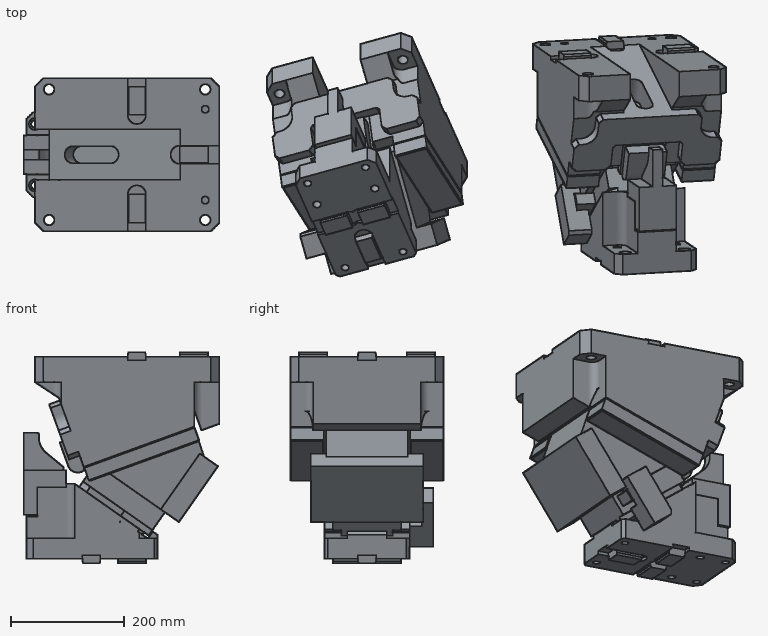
import cadquery as cq
import math


RUN_OUT = 400.0

GUIDE_ANGLE = 20.0
DRIVE_ANGLE = -35.0


def slope_plane(angle):
    """XZ plane turned by an angle about the Y axis through the origin: x along, y across the slope."""
    a = math.radians(angle)
    return cq.Plane(origin=(0, 0, 0), xDir=(math.cos(a), 0, math.sin(a)), normal=(0, -1, 0))


GUIDE = slope_plane(GUIDE_ANGLE)
DRIVE = slope_plane(DRIVE_ANGLE)


def world_xyz(plane, along, across):
    """Point of the middle plane given in a sloped plane."""
    return plane.toWorldCoords((along, across, 0)).toTuple()


def world_xz(plane, along, across):
    """X and Z of a point given in a sloped plane."""
    x, _, z = world_xyz(plane, along, across)
    return (x, z)


def prism(points, half_width):
    """Side profile extruded evenly to both sides of the middle plane."""
    return cq.Workplane("XZ").polyline(points).close().extrude(half_width, both=True)


def slope_block(plane, along, across, y_range):
    """Box aligned with a sloped plane; each argument is a (low, high) pair."""
    return (
        cq.Workplane(plane).workplane(offset=-y_range[1])
        .moveTo(along[0], across[0]).lineTo(along[1], across[0])
        .lineTo(along[1], across[1]).lineTo(along[0], across[1]).close()
        .extrude(y_range[1] - y_range[0])
    )


def box(x_range, y_range, z_range):
    """Axis-aligned box from (low, high) pairs."""
    return (
        cq.Workplane("XY")
        .box(x_range[1] - x_range[0], y_range[1] - y_range[0], z_range[1] - z_range[0], centered=False)
        .translate((x_range[0], y_range[0], z_range[0]))
    )


KEY_LENGTH = 50.0
KEY_WIDTH = 32.0
KEY_SLOT_DEPTH = 6.0
KEY_PROUD = 8.0
KEY_BEVEL_WIDTH = 1.5
KEY_BEVEL_HEIGHT = 4.0


def key(face_z, outward, position, turn):
    """Key lying along X, centred on a position, proud of a face; outward is +1 up or -1 down."""
    half = KEY_WIDTH / 2
    points = [
        (-half, -KEY_SLOT_DEPTH), (half, -KEY_SLOT_DEPTH), (half, KEY_PROUD - KEY_BEVEL_HEIGHT),
        (half - KEY_BEVEL_WIDTH, KEY_PROUD), (-half + KEY_BEVEL_WIDTH, KEY_PROUD),
        (-half, KEY_PROUD - KEY_BEVEL_HEIGHT),
    ]
    points = [(y, outward * z) for y, z in points]
    bar = cq.Workplane("YZ").polyline(points).close().extrude(KEY_LENGTH / 2, both=True)
    return bar.rotate((0, 0, 0), (0, 0, 1), turn).translate((position[0], position[1], face_z))


def key_slot(face_z, position, turn):
    """Slot with one round end, KEY_LENGTH / 2 inward of a position, running outward along its turn."""
    start = -KEY_LENGTH / 2
    straight = box(
        (start, start + KEY_LENGTH + RUN_OUT), (-KEY_WIDTH / 2, KEY_WIDTH / 2),
        (-KEY_SLOT_DEPTH, KEY_SLOT_DEPTH),
    )
    end = (
        cq.Workplane("XY", origin=(start, 0, -KEY_SLOT_DEPTH))
        .circle(KEY_WIDTH / 2).extrude(2 * KEY_SLOT_DEPTH)
    )
    slot = straight.union(end)
    return slot.rotate((0, 0, 0), (0, 0, 1), turn).translate((position[0], position[1], face_z))


def fit_keys(body, face_z, outward, places):
    """Cut every key slot, then set a key in each."""
    for position, turn in places:
        body = body.cut(key_slot(face_z, position, turn))
    for position, turn in places:
        body = body.union(key(face_z, outward, position, turn))
    return body


def holes(places, diameter, z_range):
    """Vertical round cutters."""
    return (
        cq.Workplane("XY", origin=(0, 0, z_range[0])).pushPoints(places)
        .circle(diameter / 2).extrude(z_range[1] - z_range[0])
    )


HALF_WIDTH = 135.0
PLATE_LEFT, PLATE_RIGHT = 15.0, 340.0
PLATE_TOP = 356.0
PLATE_BOTTOM = PLATE_TOP - 45.0
PLATE_CHAMFER = 15.0
HOUSING_LEFT, HOUSING_RIGHT = 61.0, 296.0

BACK_FACE = 150.5
WORK_FACE = BACK_FACE - 20.0
GUIDE_END = 357.5
RAMP_LEVEL = 242.0
HEAD_LEVEL = 133.0
RAIL_TOP, RAIL_BOTTOM = 117.5, 90.5
RAIL_CHAMFER = 2.0
CHANNEL_HALF = 76.0

GUSSET_HALF = 95.0
FRONT_COVE, REAR_COVE = 15.0, 13.5
FRONT_GUSSET_X = 57.0
RIB_SIDE, RIB_LEVEL = 367.0, 107.0

RAMP_HALF = 44.5
RAMP_SLOT_LENGTH, RAMP_SLOT_WIDTH, RAMP_SLOT_DEPTH = 101.0, 30.0, 44.0
RAMP_SLOT_X = 115.0

BOLT_EDGE_X, BOLT_EDGE_Y, BOLT_DIAMETER = 25.0, 20.0, 18.0
DOWEL_Y, DOWEL_DIAMETER, DOWEL_DEPTH = 80.0, 13.0, 25.0
TOP_KEY_X, TOP_KEY_Y, REAR_KEY_X = 194.5, 95.0, 295.0


def coved_block(wall_x, free_x, cove):
    """Plan of a gusset from a free end to a wall, flaring into the wall with a cove each side."""
    toward = math.copysign(1, free_x - wall_x)
    mid = cove * (1 - math.sqrt(0.5))
    return (
        cq.Workplane("XY").moveTo(free_x, 0).lineTo(free_x, GUSSET_HALF)
        .lineTo(wall_x + toward * cove, GUSSET_HALF)
        .threePointArc((wall_x + toward * mid, GUSSET_HALF + mid), (wall_x, GUSSET_HALF + cove))
        .lineTo(wall_x, 0).mirrorX().extrude(PLATE_TOP)
    )


def housing():
    """Plate, full-width housing and the coved gussets in front and behind."""
    plate = (
        box((PLATE_LEFT, PLATE_RIGHT), (-HALF_WIDTH, HALF_WIDTH), (PLATE_BOTTOM, PLATE_TOP))
        .edges("|Z").chamfer(PLATE_CHAMFER)
    )
    a = math.radians(GUIDE_ANGLE)
    bend_z = (BACK_FACE - HOUSING_LEFT * math.cos(a)) / math.sin(a)
    gusset_z = (BACK_FACE - FRONT_GUSSET_X * math.cos(a)) / math.sin(a)
    right_z = (RAIL_TOP + HOUSING_RIGHT * math.sin(a)) / math.cos(a)
    block = prism(
        [(HOUSING_LEFT, PLATE_BOTTOM), (HOUSING_LEFT, bend_z), world_xz(GUIDE, BACK_FACE, RAIL_TOP),
         (HOUSING_RIGHT, right_z), (HOUSING_RIGHT, PLATE_BOTTOM)],
        HALF_WIDTH,
    )
    front = prism(
        [(PLATE_LEFT, PLATE_BOTTOM), (FRONT_GUSSET_X, gusset_z), (HOUSING_LEFT, bend_z),
         (HOUSING_LEFT, PLATE_BOTTOM)],
        HALF_WIDTH,
    ).intersect(coved_block(HOUSING_LEFT, PLATE_LEFT, FRONT_COVE))
    rib_top_z = (RIB_SIDE - HOUSING_RIGHT * math.cos(a)) / math.sin(a)
    rib_end_z = (RIB_LEVEL + PLATE_RIGHT * math.sin(a)) / math.cos(a)
    rear = prism(
        [(HOUSING_RIGHT, PLATE_BOTTOM), (HOUSING_RIGHT, rib_top_z), world_xz(GUIDE, RIB_SIDE, RIB_LEVEL),
         (PLATE_RIGHT, rib_end_z), (PLATE_RIGHT, PLATE_BOTTOM)],
        HALF_WIDTH,
    ).intersect(coved_block(HOUSING_RIGHT, PLATE_RIGHT, REAR_COVE))
    return plate.union(block).union(front).union(rear)


WORK_TOP_HALF, WORK_NECK_HALF, WORK_STEP_HALF = 87.0, 94.5, 126.5
WORK_TOP_CHAMFER_LEVEL = RAMP_LEVEL - 7.0
WORK_STEP_LEVEL, WORK_SIDE_LEVEL = 193.0, 185.0
WORK_COVE = 25.0
WORK_EMBED = 3.0
WORK_BOTTOM = 138.5
WORK_BOTTOM_CHAMFER = 7.5
RELIEF_HALF, RELIEF_TOP, RELIEF_CHAMFER = 64.0, 187.5, 5.0
RELIEF_FLARE = 8.0


def tilted_face(along):
    """Plane square to GUIDE at a distance along it, with X running along the part's Y."""
    return cq.Plane(
        origin=world_xyz(GUIDE, along, 0), xDir=(0, 1, 0), normal=GUIDE.xDir.toTuple()
    )


def work_plate():
    """Plate on the tilted front of the housing, with coved shoulders and a central relief."""
    cove_mid = WORK_COVE * (1 - math.sqrt(0.5))
    cove_y, cove_t = WORK_NECK_HALF + cove_mid, WORK_STEP_LEVEL + cove_mid
    cove_start = WORK_STEP_LEVEL + WORK_COVE
    cove_end = WORK_NECK_HALF + WORK_COVE
    plate = (
        cq.Workplane(tilted_face(BACK_FACE + WORK_EMBED))
        .moveTo(0, RAMP_LEVEL).lineTo(WORK_TOP_HALF, RAMP_LEVEL)
        .lineTo(WORK_NECK_HALF, WORK_TOP_CHAMFER_LEVEL).lineTo(WORK_NECK_HALF, cove_start)
        .threePointArc((cove_y, cove_t), (cove_end, WORK_STEP_LEVEL))
        .lineTo(WORK_STEP_HALF, WORK_STEP_LEVEL).lineTo(HALF_WIDTH, WORK_SIDE_LEVEL)
        .lineTo(HALF_WIDTH, WORK_BOTTOM + WORK_BOTTOM_CHAMFER)
        .lineTo(HALF_WIDTH - WORK_BOTTOM_CHAMFER, WORK_BOTTOM)
        .lineTo(0, WORK_BOTTOM).mirrorY()
        .extrude(WORK_FACE - BACK_FACE - WORK_EMBED)
    )
    relief = (
        cq.Workplane(tilted_face(BACK_FACE))
        .moveTo(0, WORK_BOTTOM).lineTo(RELIEF_HALF + RELIEF_FLARE, WORK_BOTTOM)
        .lineTo(RELIEF_HALF, WORK_BOTTOM + RELIEF_FLARE)
        .lineTo(RELIEF_HALF, RELIEF_TOP - RELIEF_CHAMFER)
        .lineTo(RELIEF_HALF - RELIEF_CHAMFER, RELIEF_TOP).lineTo(0, RELIEF_TOP).mirrorY()
        .extrude(WORK_FACE - BACK_FACE)
    )
    return plate.cut(relief)


NOSE_HALF, NOSE_FRONT, NOSE_TOP, NOSE_BOTTOM = 35.0, 125.0, 172.5, 110.5
NOSE_FRONT_RADIUS, NOSE_BACK_RADIUS = 18.0, 6.5
LUG_HALF, LUG_BACK, LUG_BOTTOM = 39.0, 165.0, 115.5
LUG_PROUD = 0.5


def nose():
    """Round-bottomed block in the relief, on a slightly wider lug under the housing front."""
    block = slope_block(GUIDE, (NOSE_FRONT, BACK_FACE), (NOSE_BOTTOM, NOSE_TOP), (-NOSE_HALF, NOSE_HALF))
    for back_edge, radius in ((False, NOSE_FRONT_RADIUS), (True, NOSE_BACK_RADIUS)):
        underside = block.faces(cq.DirectionMinMaxSelector(GUIDE.yDir, False))
        edge = underside.edges("|Y").edges(cq.DirectionMinMaxSelector(GUIDE.xDir, back_edge))
        block = edge.fillet(radius)
    lug = slope_block(
        GUIDE, (BACK_FACE - LUG_PROUD, LUG_BACK), (LUG_BOTTOM, RELIEF_TOP), (-LUG_HALF, LUG_HALF)
    )
    return block.union(lug)


def rails():
    """Two chamfered rails under the housing, one each side of the slider."""
    rail = slope_block(
        GUIDE, (BACK_FACE, GUIDE_END), (RAIL_BOTTOM, RAIL_TOP), (CHANNEL_HALF, HALF_WIDTH)
    )
    for top_face in (False, True):
        face = rail.faces(cq.DirectionMinMaxSelector(GUIDE.yDir, top_face))
        rail = face.edges().chamfer(RAIL_CHAMFER)
    return rail.union(rail.mirror("XZ"))


def ramp_pocket():
    """Everything above the ramp over its width, and an obround pocket sunk square into it."""
    a = math.radians(GUIDE_ANGLE)
    pocket = slope_block(GUIDE, (0, RUN_OUT), (RAMP_LEVEL, 2 * RAMP_LEVEL), (-RAMP_HALF, RAMP_HALF))
    slot_x = RAMP_SLOT_X
    slot_z = (RAMP_LEVEL + slot_x * math.sin(a)) / math.cos(a)
    floor = cq.Plane(
        origin=(slot_x, 0, slot_z), xDir=GUIDE.xDir.toTuple(), normal=GUIDE.yDir.toTuple()
    )
    slot = cq.Workplane(floor).slot2D(RAMP_SLOT_LENGTH, RAMP_SLOT_WIDTH).extrude(-RAMP_SLOT_DEPTH)
    return pocket.union(slot)


def make_upper():
    """Housing with work plate, slideway, rails, nose, ramp pocket, plate holes and keys."""
    body = housing().union(work_plate())
    channel = slope_block(GUIDE, (0, GUIDE_END), (0, HEAD_LEVEL), (-CHANNEL_HALF, CHANNEL_HALF))
    body = body.cut(channel)
    body = body.union(rails()).union(nose()).cut(ramp_pocket())
    bolt_x = (PLATE_LEFT + BOLT_EDGE_X, PLATE_RIGHT - BOLT_EDGE_X)
    bolt_y = HALF_WIDTH - BOLT_EDGE_Y
    bolts = [(x, side * bolt_y) for x in bolt_x for side in (-1, 1)]
    dowels = [(bolt_x[1], side * DOWEL_Y) for side in (-1, 1)]
    body = body.cut(holes(bolts, BOLT_DIAMETER, (PLATE_BOTTOM, PLATE_TOP)))
    body = body.cut(holes(dowels, DOWEL_DIAMETER, (PLATE_TOP - DOWEL_DEPTH, PLATE_TOP)))
    places = [((REAR_KEY_X, 0), 0), ((TOP_KEY_X, TOP_KEY_Y), 90), ((TOP_KEY_X, -TOP_KEY_Y), -90)]
    return fit_keys(body, PLATE_TOP, 1, places)


SEAT = 157.0
SHOE_TOP = SEAT + 11.5
NECK_TOP = 207.0
SLIDER_START, SLIDER_END = 3.5, 153.0
SHOE_HALF, SHOE_REAR_HALF, NECK_HALF, HEAD_HALF = 64.0, 45.0, 60.0, 72.0
SHOE_STEP = 93.0
SHOE_CHAMFER_LENGTH, SHOE_CHAMFER_WIDTH = 16.0, 20.0
TAIL_START, TAIL_END, TAIL_TOP, TAIL_HALF = 144.0, 183.0, 327.0, 99.0

HOOK_START, HOOK_END = 98.0, 143.0
HOOK_BOTTOM, HOOK_TOP = 125.5, 221.0
HOOK_MOUTH = (170.5, 203.0)
HOOK_Y, HOOK_LIP_Y, HOOK_MOUTH_Y = 117.0, 84.0, 96.0
HOOK_CHAMFER_ALONG, HOOK_CHAMFER_ACROSS = 4.6, 6.5
CATCH_START, CATCH_Y = 98.0, 94.0
CATCH_BOTTOM, CATCH_TOP = 181.5, 202.0


def make_slider():
    """Shoe on the slope, neck, head in the slideway, overhanging tail and the catch for the hook."""
    shoe = slope_block(DRIVE, (SLIDER_START, SHOE_STEP), (SEAT, SHOE_TOP), (-SHOE_HALF, SHOE_HALF))
    front_edges = shoe.faces(cq.DirectionMinMaxSelector(DRIVE.xDir, False)).edges(
        cq.ParallelDirSelector(DRIVE.yDir)
    )
    shoe = front_edges.chamfer(SHOE_CHAMFER_WIDTH, SHOE_CHAMFER_LENGTH)
    shoe_rear = slope_block(
        DRIVE, (SHOE_STEP, SLIDER_END), (SEAT, SHOE_TOP), (-SHOE_REAR_HALF, SHOE_REAR_HALF)
    )
    neck = slope_block(DRIVE, (SLIDER_START, SLIDER_END), (SHOE_TOP, NECK_TOP), (-NECK_HALF, NECK_HALF))
    a = math.radians(GUIDE_ANGLE)
    head_x, head_z = world_xz(DRIVE, SLIDER_START, NECK_TOP)
    head = prism(
        [(head_x, head_z), (head_x, (HEAD_LEVEL + head_x * math.sin(a)) / math.cos(a)),
         world_xz(GUIDE, GUIDE_END, HEAD_LEVEL), world_xz(DRIVE, SLIDER_END, TAIL_TOP),
         world_xz(DRIVE, SLIDER_END, NECK_TOP)],
        HEAD_HALF,
    )
    tail = slope_block(DRIVE, (TAIL_START, TAIL_END), (NECK_TOP, TAIL_TOP), (-TAIL_HALF, TAIL_HALF))
    catch = slope_block(
        DRIVE, (CATCH_START, TAIL_START), (CATCH_BOTTOM, CATCH_TOP), (0, CATCH_Y)
    )
    return shoe.union(shoe_rear).union(neck).union(head).union(tail).union(catch)


FOOT_LENGTH, FOOT_HALF, FOOT_TOP = 231.0, 75.0, 36.5
FOOT_FRONT_CHAMFER, FOOT_REAR_CHAMFER = 12.0, 6.0
DRIVER_LEFT = 85.0
STEM_HALF, STEM_COVE = 35.0, 15.0
STEM_TOP = 126.0
SHOULDER_X, SHOULDER_Z = 19.5, 74.5
SEAT_END, SEAT_STEP = 133.0, 5.0
STOP_START, STOP_TOP = 154.5, 167.0
NOTCH_X, NOTCH_Y = 199.0, 35.0

FOOT_BOLT_X, FOOT_BOLT_Y = (15.0, 215.0), 54.0
FOOT_BOLT_DIAMETER, FOOT_BORE_DIAMETER, FOOT_BORE_DEPTH = 13.0, 21.0, 13.0
FOOT_DOWEL_X, FOOT_DOWEL_DIAMETER = 65.0, 14.0

BLOCK_LEFT, BLOCK_RIGHT, BLOCK_TOP = -5.0, 70.0, 156.0
BLOCK_HALF, BLOCK_LEG_BOTTOM = 34.0, 77.5
BLADE_HALF, BLADE_TOP, BLADE_TIP_X = 9.0, 222.0, 22.5
BLADE_ROUND = 4.0
BLADE_CURVE = ((BLADE_TIP_X, 209.0), (27.0, 196.0), (37.0, 185.0))
BLADE_END = (65.5, 161.5)

FOOT_KEY_X, FOOT_KEY_Y, FOOT_REAR_KEY_X = 114.5, 35.0, 186.0


def foot_and_driver():
    """Chamfered foot with the sloped driver and its end stop, notched at the rear corners."""
    a = math.radians(-DRIVE_ANGLE)
    seat_z = (SEAT - DRIVER_LEFT * math.sin(a)) / math.cos(a)
    stop_z = (STOP_TOP - FOOT_LENGTH * math.sin(a)) / math.cos(a)
    outline = box((0, FOOT_LENGTH), (-FOOT_HALF, FOOT_HALF), (0, BLOCK_TOP))
    outline = outline.edges("|Z and <X").chamfer(FOOT_FRONT_CHAMFER)
    outline = outline.edges("|Z and >X").chamfer(FOOT_REAR_CHAMFER)
    foot = box((0, FOOT_LENGTH), (-FOOT_HALF, FOOT_HALF), (0, FOOT_TOP))
    driver = prism(
        [(DRIVER_LEFT, 0), (DRIVER_LEFT, seat_z), world_xz(DRIVE, SEAT_END, SEAT),
         world_xz(DRIVE, SEAT_END, SEAT - SEAT_STEP), world_xz(DRIVE, STOP_START, SEAT - SEAT_STEP),
         world_xz(DRIVE, STOP_START, STOP_TOP), (FOOT_LENGTH, stop_z), (FOOT_LENGTH, 0)],
        FOOT_HALF,
    )
    for y_range in ((NOTCH_Y, FOOT_HALF), (-FOOT_HALF, -NOTCH_Y)):
        driver = driver.cut(box((NOTCH_X, FOOT_LENGTH), y_range, (FOOT_TOP, BLOCK_TOP)))
    stem_start = DRIVER_LEFT - STEM_COVE
    stem = box((0, stem_start), (-STEM_HALF, STEM_HALF), (0, STEM_TOP))
    stem = stem.cut(box((0, SHOULDER_X), (-STEM_HALF, STEM_HALF), (SHOULDER_Z, STEM_TOP)))
    cove_mid = STEM_COVE * math.sqrt(0.5)
    flare = (
        cq.Workplane("XY").moveTo(stem_start, 0).lineTo(stem_start, STEM_HALF)
        .threePointArc((stem_start + cove_mid, STEM_HALF + STEM_COVE - cove_mid),
                       (DRIVER_LEFT, STEM_HALF + STEM_COVE))
        .lineTo(DRIVER_LEFT, 0).mirrorX().extrude(seat_z)
    )
    return foot.union(driver).intersect(outline).union(stem).union(flare)


def key_block():
    """L-shaped block hooked over the stem, carrying a central blade with a hollow back."""
    block = prism(
        [(BLOCK_LEFT, BLOCK_LEG_BOTTOM), (BLOCK_LEFT, BLOCK_TOP), (BLOCK_RIGHT, BLOCK_TOP),
         (BLOCK_RIGHT, STEM_TOP), (SHOULDER_X, STEM_TOP), (SHOULDER_X, BLOCK_LEG_BOTTOM)],
        BLOCK_HALF,
    )
    curve_start, curve_middle, curve_end = BLADE_CURVE
    blade = (
        cq.Workplane("XZ").moveTo(BLOCK_LEFT, BLOCK_TOP).lineTo(BLOCK_LEFT, BLADE_TOP)
        .lineTo(BLADE_TIP_X - BLADE_ROUND, BLADE_TOP)
        .radiusArc((BLADE_TIP_X, BLADE_TOP - BLADE_ROUND), BLADE_ROUND)
        .lineTo(*curve_start).threePointArc(curve_middle, curve_end).lineTo(*BLADE_END)
        .lineTo(BLADE_END[0], BLOCK_TOP).close().extrude(BLADE_HALF, both=True)
    )
    return block.union(blade)


def return_hook():
    """C-shaped hook on the +Y side of the driver, reaching over the slider's catch."""
    hook = slope_block(DRIVE, (HOOK_START, HOOK_END), (HOOK_BOTTOM, HOOK_TOP), (FOOT_HALF, HOOK_Y))
    front_bottom = cq.Workplane(DRIVE).polyline(
        [(HOOK_START, HOOK_BOTTOM), (HOOK_START + HOOK_CHAMFER_ALONG, HOOK_BOTTOM),
         (HOOK_START, HOOK_BOTTOM + HOOK_CHAMFER_ACROSS)]
    ).close().extrude(HOOK_Y, both=True)
    mouth = slope_block(DRIVE, (HOOK_START, HOOK_END), HOOK_MOUTH, (0, HOOK_MOUTH_Y))
    opening = slope_block(DRIVE, (HOOK_START, HOOK_END), (HOOK_MOUTH[0], HOOK_TOP), (0, HOOK_LIP_Y))
    return hook.cut(front_bottom).cut(mouth).cut(opening)


def make_base():
    """Foot with driver, key block and return hook, its bolt and dowel holes, and its keys."""
    body = foot_and_driver().union(key_block()).union(return_hook())
    bolts = [(x, side * FOOT_BOLT_Y) for x in FOOT_BOLT_X for side in (-1, 1)]
    dowels = [(FOOT_DOWEL_X, side * FOOT_BOLT_Y) for side in (-1, 1)]
    body = body.cut(holes(bolts, FOOT_BOLT_DIAMETER, (0, FOOT_TOP)))
    body = body.cut(holes(bolts, FOOT_BORE_DIAMETER, (FOOT_TOP - FOOT_BORE_DEPTH, FOOT_TOP)))
    body = body.cut(holes(dowels, FOOT_DOWEL_DIAMETER, (0, FOOT_TOP)))
    places = [((FOOT_REAR_KEY_X, 0), 0), ((FOOT_KEY_X, FOOT_KEY_Y), 90), ((FOOT_KEY_X, -FOOT_KEY_Y), -90)]
    return fit_keys(body, 0, -1, places)


upper = make_upper()
slider = make_slider()
base = make_base()

result = cq.Compound.makeCompound([upper.solids().val(), slider.solids().val(), base.solids().val()])